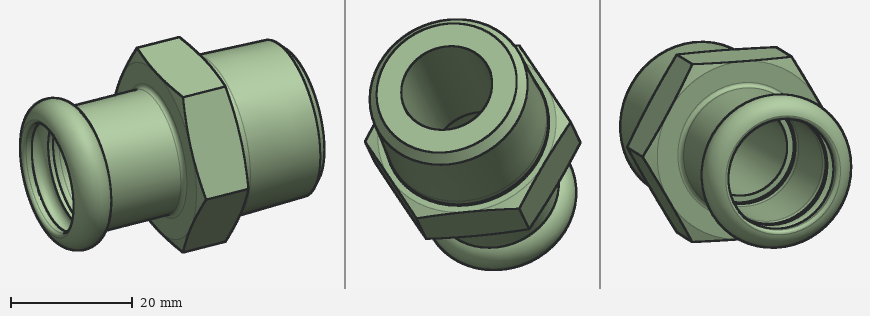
import cadquery as cq
import math

TOTAL_LENGTH = 45.0
HEX_START = 20.0
HEX_END = 29.0
COLLAR_START = 29.3
COLLAR_END = 30.5

HEX_ACROSS_FLATS = 30.0
HEX_SIDES = 6
HEX_BEVEL_ANGLE = math.radians(15)

COLLAR_RADIUS = 27.42 / 2
COLLAR_FLARE = 0.1
THREAD_TAPER = 1 / 32
THREAD_CHAMFER = 1.5

NECK_RADIUS = 21.3 / 2
NECK_FILLET = 0.75
BEAD_RADIUS = 25.7 / 2
BEAD_SECTION_RADIUS = 3.39
BEAD_CENTRE_Y = 3.35
MOUTH_RADIUS = 10.0

LIP_RADIUS = 18.7 / 2
LIP_END = 1.7
GROOVE_RADIUS = 10.9
GROOVE_END = 4.7
ENTRY_START = 5.6
ENTRY_END = 6.6
SEAT_RADIUS = 18.3 / 2
TAPER_START = 18.5
TAPER_END = 19.7
TAPER_END_RADIUS = 9.0
STOP_OUTER_RADIUS = 8.78
SOCKET_END = HEX_START
BORE_RADIUS = 15.3 / 2

BEAD_CENTRE_RADIUS = BEAD_RADIUS - BEAD_SECTION_RADIUS
MID_ARC = 1 - math.sqrt(0.5)


def bead_half_width(radius):
    """Half the axial width of the bead at a given distance from the axis."""
    return math.sqrt(BEAD_SECTION_RADIUS**2 - (radius - BEAD_CENTRE_RADIUS) ** 2)


def revolve_about_y(profile):
    return profile.close().revolve(axisStart=(0, 0, 0), axisEnd=(0, 1, 0))


def make_socket_outside():
    """Beaded socket tube that flares into the hexagon."""
    bend = NECK_FILLET * MID_ARC
    profile = (
        cq.Workplane("XY")
        .lineTo(MOUTH_RADIUS, 0)
        .threePointArc(
            (BEAD_RADIUS, BEAD_CENTRE_Y),
            (NECK_RADIUS, BEAD_CENTRE_Y + bead_half_width(NECK_RADIUS)),
        )
        .lineTo(NECK_RADIUS, HEX_START - NECK_FILLET)
        .threePointArc(
            (NECK_RADIUS + bend, HEX_START - bend),
            (NECK_RADIUS + NECK_FILLET, HEX_START),
        )
        .lineTo(NECK_RADIUS + NECK_FILLET, HEX_END)
        .lineTo(0, HEX_END)
    )
    return revolve_about_y(profile)


def make_hexagon():
    """Hexagon with its corners bevelled by a cone at each end."""
    corner_radius = HEX_ACROSS_FLATS / 2 / math.cos(math.pi / HEX_SIDES)
    hexagon = (
        cq.Workplane("XZ", origin=(0, HEX_START, 0))
        .polygon(HEX_SIDES, 2 * corner_radius)
        .extrude(HEX_START - HEX_END)
    )
    bevel_radius = HEX_ACROSS_FLATS / 2
    bevel_depth = (corner_radius - bevel_radius) * math.tan(HEX_BEVEL_ANGLE)
    envelope = revolve_about_y(
        cq.Workplane("XY")
        .moveTo(0, HEX_START)
        .lineTo(bevel_radius, HEX_START)
        .lineTo(corner_radius, HEX_START + bevel_depth)
        .lineTo(corner_radius, HEX_END - bevel_depth)
        .lineTo(bevel_radius, HEX_END)
        .lineTo(0, HEX_END)
    )
    return hexagon.intersect(envelope)


def make_thread_end():
    """Collar and plain taper of the male thread with a chamfered end."""
    chamfer_start = TOTAL_LENGTH - THREAD_CHAMFER
    tip_radius = COLLAR_RADIUS - THREAD_TAPER * (chamfer_start - COLLAR_END)
    foot_radius = COLLAR_RADIUS + COLLAR_FLARE
    profile = (
        cq.Workplane("XY")
        .moveTo(0, HEX_END)
        .lineTo(foot_radius, HEX_END)
        .lineTo(COLLAR_RADIUS, COLLAR_START)
        .lineTo(COLLAR_RADIUS, COLLAR_END)
        .lineTo(tip_radius, chamfer_start)
        .lineTo(tip_radius - THREAD_CHAMFER, TOTAL_LENGTH)
        .lineTo(0, TOTAL_LENGTH)
    )
    return revolve_about_y(profile)


def make_cavity():
    """Rounded mouth, lip, seal groove, pipe seat with a tapered end, and through bore."""
    mouth_round = MOUTH_RADIUS - LIP_RADIUS
    mouth_bend = mouth_round * MID_ARC

    entry_length = ENTRY_END - ENTRY_START
    entry_step = LIP_RADIUS - SEAT_RADIUS
    entry_arc_radius = (entry_length**2 + entry_step**2) / (2 * entry_step)
    half_angle = math.asin(entry_length / entry_arc_radius) / 2
    entry_middle = (
        SEAT_RADIUS + entry_arc_radius * (1 - math.cos(half_angle)),
        ENTRY_END - entry_arc_radius * math.sin(half_angle),
    )

    profile = (
        cq.Workplane("XY")
        .lineTo(MOUTH_RADIUS, 0)
        .threePointArc((LIP_RADIUS + mouth_bend, mouth_bend), (LIP_RADIUS, mouth_round))
        .lineTo(LIP_RADIUS, LIP_END)
        .threePointArc((GROOVE_RADIUS, (LIP_END + GROOVE_END) / 2), (LIP_RADIUS, GROOVE_END))
        .lineTo(LIP_RADIUS, ENTRY_START)
        .threePointArc(entry_middle, (SEAT_RADIUS, ENTRY_END))
        .lineTo(SEAT_RADIUS, TAPER_START)
        .lineTo(TAPER_END_RADIUS, TAPER_END)
        .lineTo(STOP_OUTER_RADIUS, SOCKET_END)
        .lineTo(BORE_RADIUS, SOCKET_END)
        .lineTo(BORE_RADIUS, TOTAL_LENGTH)
        .lineTo(0, TOTAL_LENGTH)
    )
    return revolve_about_y(profile)


result = make_socket_outside().union(make_hexagon()).union(make_thread_end()).cut(make_cavity())